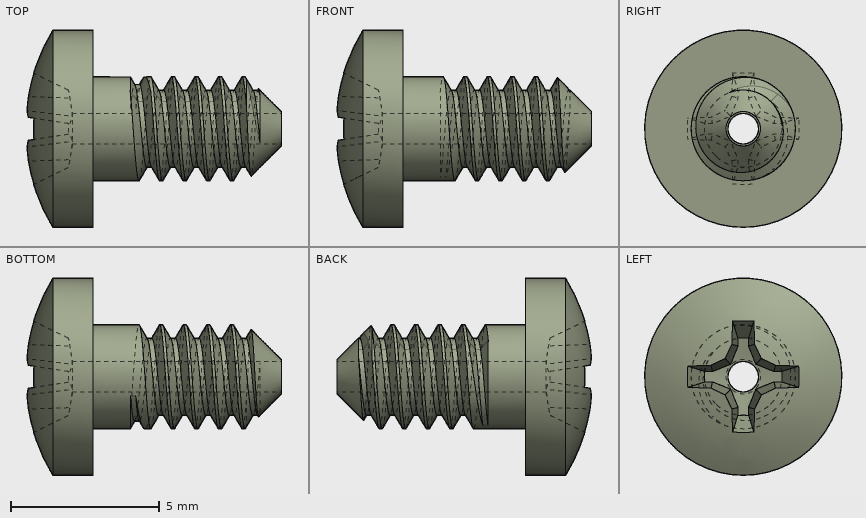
import cadquery as cq
import math


head_radius = 3.325
rim_height = 1.355
dome_height = 0.93

shank_radius = 1.755
shank_length = 6.35
tip_radius = 0.58
tip_cone_length = shank_radius - tip_radius
vent_radius = 0.51

pitch = 0.7938
thread_depth = 0.452
crest_width = pitch / 8
groove_width = pitch - crest_width
flank_slope = math.tan(math.radians(30))
thread_start = 1.60
thread_start_angle = 135
runout_angle = 120
runout_sections = 5
cutter_overshoot = 0.05

recess_depth = 1.6
mouth_wing_reach = 2.01
mouth_wing_half_width = 0.40
mouth_wing_root = 1.09
mouth_corner = 0.62
floor_wing_reach = 1.23
floor_wing_half_width = 0.16
floor_wing_root = 1.035
floor_corner = 0.42
floor_cone_slope = math.tan(math.radians(10))

head_top = -(rim_height + dome_height)


def screw_blank():
    """Domed head, plain shank and conical tip, revolved about Z."""
    dome_radius = (head_radius**2 + dome_height**2) / (2 * dome_height)
    half_angle = math.asin(head_radius / dome_radius) / 2
    dome_middle = (
        dome_radius * math.sin(half_angle),
        head_top + dome_radius * (1 - math.cos(half_angle)),
    )
    return (
        cq.Workplane("XZ")
        .moveTo(0, head_top)
        .threePointArc(dome_middle, (head_radius, -rim_height))
        .lineTo(head_radius, 0)
        .lineTo(shank_radius, 0)
        .lineTo(shank_radius, shank_length - tip_cone_length)
        .lineTo(tip_radius, shank_length)
        .lineTo(0, shank_length)
        .close()
        .revolve(360, (0, 0, 0), (0, 1, 0))
    )


def groove_section(depth):
    """Thread groove outline in the XZ plane, centred on Z = 0, cut to the given depth."""
    root_radius = shank_radius - depth
    outer_radius = shank_radius + cutter_overshoot
    root_half_width = groove_width / 2 - thread_depth * flank_slope
    outer_half_width = root_half_width + (outer_radius - root_radius) * flank_slope
    return cq.Workplane("XZ").polyline([
        (root_radius, -root_half_width),
        (outer_radius, -outer_half_width),
        (outer_radius, outer_half_width),
        (root_radius, root_half_width),
    ]).close()


def place_on_thread(shape):
    """Turn and shift a groove cutter to the thread start."""
    return shape.rotate((0, 0, 0), (0, 0, 1), thread_start_angle).translate((0, 0, thread_start))


def thread_turn():
    """One full-depth turn of the helical groove, beginning at the thread start."""
    path = cq.Wire.makeHelix(pitch, pitch, shank_radius)
    turn = groove_section(thread_depth).sweep(cq.Workplane(path), isFrenet=True)
    return place_on_thread(turn)


def thread_runout():
    """Groove rising out of the shank ahead of the thread start, ending clear of its surface."""
    final_clearance = cutter_overshoot / 2
    wires = []
    for index in range(runout_sections):
        fraction = index / (runout_sections - 1)
        angle = -runout_angle * fraction
        depth = thread_depth - (thread_depth + final_clearance) * fraction
        section = groove_section(depth).wire().val()
        section = section.rotate(cq.Vector(0, 0, 0), cq.Vector(0, 0, 1), angle)
        wires.append(section.translate(cq.Vector(0, 0, pitch * angle / 360)))
    return place_on_thread(cq.Workplane(cq.Solid.makeLoft(wires, False)))


def cross_points(reach, half_width, root, corner):
    """Four-winged outline with a bevelled corner between neighbouring wings."""
    quarter = [
        (reach, half_width),
        (root, half_width),
        (corner, corner),
        (half_width, root),
        (half_width, reach),
    ]
    points = []
    for _ in range(4):
        points += quarter
        quarter = [(-y, x) for x, y in quarter]
    return points


def cross_recess():
    """Tapered cross recess whose floor is a shallow cone leading to the vent."""
    mouth = cross_points(mouth_wing_reach, mouth_wing_half_width, mouth_wing_root, mouth_corner)
    floor = cross_points(floor_wing_reach, floor_wing_half_width, floor_wing_root, floor_corner)
    tapered_cross = (
        cq.Workplane("XY", origin=(0, 0, head_top))
        .polyline(mouth)
        .close()
        .workplane(offset=recess_depth)
        .polyline(floor)
        .close()
        .loft(ruled=True)
    )
    floor_z = head_top + recess_depth
    cone_rise = (head_radius - vent_radius) * floor_cone_slope
    floor_limit = (
        cq.Workplane("XZ")
        .polyline([
            (0, head_top),
            (head_radius, head_top),
            (head_radius, floor_z - cone_rise),
            (vent_radius, floor_z),
            (0, floor_z),
        ])
        .close()
        .revolve(360, (0, 0, 0), (0, 1, 0))
    )
    return tapered_cross.intersect(floor_limit)


def vent_hole():
    """Plain hole along the whole screw."""
    return cq.Workplane("XY", origin=(0, 0, head_top)).circle(vent_radius).extrude(shank_length - head_top)


def cut_thread(blank):
    """Cut the groove turn by turn until it has run out through the tip cone."""
    threaded = blank.cut(thread_runout())
    turn = thread_turn()
    turn_count = math.ceil((shank_length - thread_start) / pitch)
    for index in range(turn_count):
        threaded = threaded.cut(turn.translate((0, 0, index * pitch)))
    return threaded


screw = cut_thread(screw_blank())
screw = screw.cut(cross_recess()).cut(vent_hole())
result = screw.rotate((0, 0, 0), (0, 1, 0), 90)